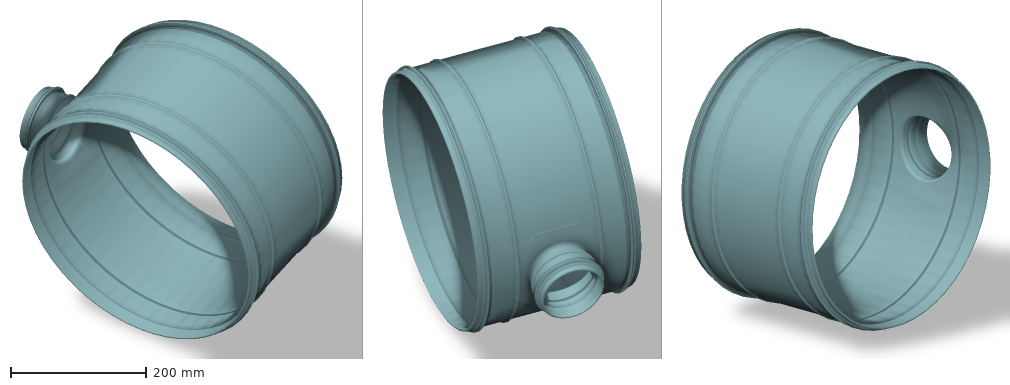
import cadquery as cq
import math

OVERALL_LENGTH = 458.5
MAIN_GASKET_DIAMETER = 409.5
SHEET = 0.5
MAIN_RADIUS = 199.5
MAIN_SEAT_RADIUS = 197.5
MAIN_LENGTH = 259.0
MAIN_BEAD_AT = 63.3
BRANCH_RADIUS = 49.0
BRANCH_SEAT_RADIUS = 47.5
BRANCH_REACH = OVERALL_LENGTH - MAIN_GASKET_DIAMETER / 2
BRANCH_BEAD_AT = 39.0
SPIGOT_LENGTH = 46.8

HEM_RISE = 2.0
HEM_LENGTH = 7.0
HEM_ROUND = 2.0
SEAT_WALL = 1.15
CONE_START = 21.0
CONE_END = 24.5

BEAD_HALF_WIDTH = 4.0
BEAD_HEIGHT = 2.8
BEAD_SLOPE = 2 * math.atan(BEAD_HEIGHT / BEAD_HALF_WIDTH)
BEAD_BEND = BEAD_HALF_WIDTH / (2 * math.sin(BEAD_SLOPE))

GASKET_START = HEM_LENGTH
GASKET_END = 16.5
BAND_RISE = 2.0
SMALL_LIP_RISE = 4.5
LARGE_LIP_RISE = MAIN_GASKET_DIAMETER / 2 - MAIN_SEAT_RADIUS
LIP_TIP_WIDTH = 1.5
SMALL_LIP_FOOT = 8.0
SMALL_LIP_TIP = 11.5
LARGE_LIP_FOOT = 13.0

PLATE_DISC_RADIUS = 80.0
PLATE_WIDTH = 145.0
PLATE_HEIGHT = 146.2
FLARE_RADIUS = 3.5
JOINT_DEPTH = 13.8
MAIN_HOLE_RADIUS = BRANCH_RADIUS + FLARE_RADIUS


def add_bead(path, centre, foot, offset):
    """Continue a profile over a bead; offset moves it outwards from the pipe's outside."""
    hollow = BEAD_BEND - offset
    crown = BEAD_BEND + offset
    foot_axis = foot + BEAD_BEND
    crown_axis = foot + BEAD_HEIGHT - BEAD_BEND
    half = BEAD_SLOPE / 2

    def in_hollow(side, angle):
        along = centre + side * (BEAD_HALF_WIDTH - hollow * math.sin(angle))
        return along, foot_axis - hollow * math.cos(angle)

    def on_crown(side, angle):
        return centre + side * crown * math.sin(angle), crown_axis + crown * math.cos(angle)

    return (
        path.lineTo(*in_hollow(-1, 0))
        .threePointArc(in_hollow(-1, half), in_hollow(-1, BEAD_SLOPE))
        .threePointArc(on_crown(0, 0), on_crown(1, BEAD_SLOPE))
        .threePointArc(in_hollow(1, half), in_hollow(1, 0))
    )


def revolve_about_x(profile):
    return profile.close().revolve(360, (0, 0, 0), (1, 0, 0))


def pipe_envelope(radius, seat_radius, length, bead_at, offset):
    """Solid enclosed by the seat, cone, bead and full pipe; offset moves its surface outwards."""
    pipe = radius + offset
    seat = seat_radius + offset
    path = cq.Workplane("XY").lineTo(0, seat).lineTo(CONE_START, seat).lineTo(CONE_END, pipe)
    path = add_bead(path, bead_at, radius, offset)
    return revolve_about_x(path.lineTo(length, pipe).lineTo(length, 0))


def ring(start, end, inner, outer):
    return cq.Workplane("YZ", origin=(start, 0, 0)).circle(outer).circle(inner).extrude(end - start)


def pipe_end(radius, seat_radius, length, bead_at):
    """Pipe along X with its hemmed end at X = 0."""
    outside = pipe_envelope(radius, seat_radius, length, bead_at, 0)
    wall = outside.cut(pipe_envelope(radius, seat_radius, length, bead_at, -SHEET))
    bore = seat_radius - SEAT_WALL
    hem = ring(0, HEM_LENGTH, bore, seat_radius + HEM_RISE)
    hem = hem.faces("<X").edges(cq.selectors.RadiusNthSelector(-1)).fillet(HEM_ROUND)
    seat = ring(0, CONE_START, bore, seat_radius)
    return wall.union(seat).union(hem)


def gasket(seat):
    """Two-lipped gasket for the seat of a pipe end at X = 0."""
    band = seat + BAND_RISE
    small = seat + SMALL_LIP_RISE
    large = seat + LARGE_LIP_RISE
    profile = cq.Workplane("XY").polyline([
        (GASKET_START, seat),
        (GASKET_START, band),
        (SMALL_LIP_FOOT, band),
        (SMALL_LIP_TIP - LIP_TIP_WIDTH, small),
        (SMALL_LIP_TIP, small),
        (SMALL_LIP_TIP, band),
        (LARGE_LIP_FOOT, band),
        (GASKET_END - LIP_TIP_WIDTH, large),
        (GASKET_END, large),
        (GASKET_END, seat),
    ])
    return revolve_about_x(profile)


def to_main_end(body, side):
    """Place a pipe end's body on the main axis; side -1 is the -Y end, +1 the +Y end."""
    return body.rotate((0, 0, 0), (0, 0, 1), -side * 90).translate((0, side * MAIN_LENGTH / 2, 0))


def to_branch(body):
    return body.translate((-BRANCH_REACH, 0, 0))


def branch_cylinder(radius):
    return cq.Workplane("YZ").circle(radius).extrude(-(BRANCH_REACH - SPIGOT_LENGTH))


def main_pipe():
    half = pipe_end(MAIN_RADIUS, MAIN_SEAT_RADIUS, MAIN_LENGTH / 2, MAIN_BEAD_AT)
    pipe = to_main_end(half, -1).union(to_main_end(half, 1))
    return pipe.cut(branch_cylinder(MAIN_HOLE_RADIUS))


def flared_core(offset):
    """Solid main pipe and branch, joined by the flare; offset is outwards from the main pipe."""
    half = pipe_envelope(MAIN_RADIUS, MAIN_SEAT_RADIUS, MAIN_LENGTH / 2, MAIN_BEAD_AT, offset)
    branch = branch_cylinder(BRANCH_RADIUS - SHEET + offset)
    core = to_main_end(half, -1).union(to_main_end(half, 1)).union(branch)
    joint_edges = cq.selectors.BoxSelector(
        (-MAIN_RADIUS, -BRANCH_RADIUS, -BRANCH_RADIUS),
        (-MAIN_RADIUS + JOINT_DEPTH, BRANCH_RADIUS, BRANCH_RADIUS),
    )
    return core.edges(joint_edges).fillet(FLARE_RADIUS + SHEET - offset)


def saddle():
    """Curved plate pressed over the main pipe and its beads, with the flared branch pipe."""
    disc = cq.Workplane("YZ").circle(PLATE_DISC_RADIUS).extrude(-BRANCH_REACH)
    square = cq.Workplane("YZ").rect(PLATE_WIDTH, PLATE_HEIGHT).extrude(-BRANCH_REACH)
    plate = flared_core(SHEET).intersect(disc.intersect(square)).cut(flared_core(0))
    spigot = pipe_end(BRANCH_RADIUS, BRANCH_SEAT_RADIUS, SPIGOT_LENGTH, BRANCH_BEAD_AT)
    return plate.union(to_branch(spigot))


main_gaskets = [to_main_end(gasket(MAIN_SEAT_RADIUS), side) for side in (-1, 1)]
branch_gasket = to_branch(gasket(BRANCH_SEAT_RADIUS))

result = cq.Compound.makeCompound([
    main_pipe().val(),
    saddle().val(),
    *[seal.val() for seal in main_gaskets],
    branch_gasket.val(),
])